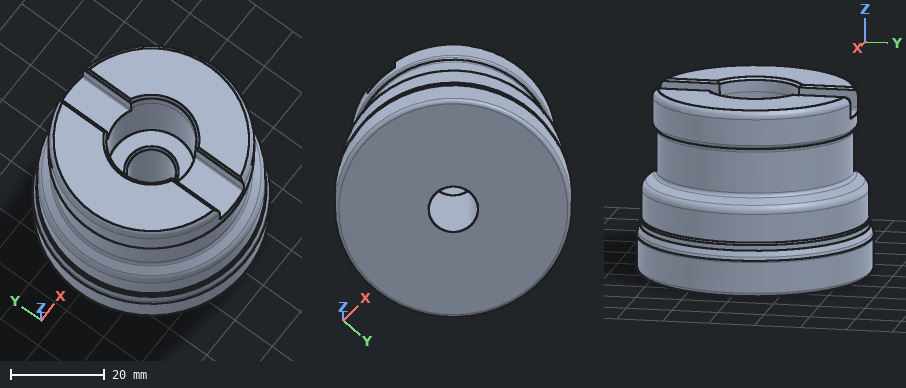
import cadquery as cq
import math

height = 40.0
rim_radius = 25.4

base_radius = 25.35
base_rounding = 0.9
base_top = 7.6
rim_height = 8.05
edge_break_top = 8.8
edge_break_radius = 25.2
band_radius = 24.6
band_bottom = 10.05
band_top = 11.3

body_radius = 48.8 / 2
body_bottom = 11.8
body_top = 18.0
shoulder_angle = math.radians(57)
shoulder_round_height = 1.8
neck_bottom_round_height = 0.9

neck_radius = 42.3 / 2
neck_bottom = 21.9
neck_top = 30.9
neck_top_round_end = 31.6
neck_top_round_width = 0.2
head_radius = 44.0 / 2
head_bottom = 32.5
head_bottom_round_height = 0.55
head_bottom_round_width = 0.25
head_round_bottom = 38.2
head_top_radius = 20.9

slot_width = 8.4
slot_depth = 4.8
slot_chamfer = 0.5
slot_corner_radius = 0.3

bore_radius = 19.05 / 2
bore_depth = 19.3
lead_in_radius = 9.65
lead_in_depth = 3.15
mouth_chamfer = 0.6
hole_radius = 10.5 / 2
hole_chamfer = 0.55


def round_width(round_height):
    """Radial width of an arc turning from the axis direction to the shoulder slope."""
    return round_height * math.tan(shoulder_angle / 2)


def make_body():
    """Revolve the outer half profile, from the bottom face up to the top face."""
    profile = (
        cq.Workplane("XZ")
        .lineTo(base_radius - base_rounding, 0)
        .tangentArcPoint((base_radius, base_rounding), relative=False)
        .lineTo(base_radius, base_top)
        .lineTo(rim_radius, rim_height)
        .lineTo(edge_break_radius, edge_break_top)
        .lineTo(band_radius, band_bottom)
        .lineTo(band_radius, band_top)
        .lineTo(body_radius, body_bottom)
        .lineTo(body_radius, body_top)
        .tangentArcPoint(
            (body_radius - round_width(shoulder_round_height), body_top + shoulder_round_height),
            relative=False,
        )
        .lineTo(neck_radius + round_width(neck_bottom_round_height), neck_bottom - neck_bottom_round_height)
        .tangentArcPoint((neck_radius, neck_bottom), relative=False)
        .lineTo(neck_radius, neck_top)
        .tangentArcPoint((neck_radius + neck_top_round_width, neck_top_round_end), relative=False)
        .lineTo(head_radius - head_bottom_round_width, head_bottom - head_bottom_round_height)
        .tangentArcPoint((head_radius, head_bottom), relative=False)
        .lineTo(head_radius, head_round_bottom)
        .tangentArcPoint((head_top_radius, height), relative=False)
        .lineTo(0, height)
        .close()
    )
    return profile.revolve(360, (0, 0), (0, 1))


def make_bore():
    """Revolve the cutter for the bore, its tapered lead-in and the through hole."""
    bore_floor = height - bore_depth
    profile = (
        cq.Workplane("XZ")
        .lineTo(hole_radius, 0)
        .lineTo(hole_radius, bore_floor - hole_chamfer)
        .lineTo(hole_radius + hole_chamfer, bore_floor)
        .lineTo(bore_radius, bore_floor)
        .lineTo(bore_radius, height - lead_in_depth)
        .lineTo(lead_in_radius, height - mouth_chamfer)
        .lineTo(lead_in_radius + mouth_chamfer, height)
        .lineTo(0, height)
        .close()
    )
    return profile.revolve(360, (0, 0), (0, 1))


def make_slot():
    """Make the slot cutter, with rounded floor corners and chamfered upper edges."""
    half_width = slot_width / 2
    floor = height - slot_depth
    profile = (
        cq.Workplane("XZ")
        .moveTo(-half_width + slot_corner_radius, floor)
        .lineTo(half_width - slot_corner_radius, floor)
        .tangentArcPoint((half_width, floor + slot_corner_radius), relative=False)
        .lineTo(half_width, height - slot_chamfer)
        .lineTo(half_width + slot_chamfer, height)
        .lineTo(-half_width - slot_chamfer, height)
        .lineTo(-half_width, height - slot_chamfer)
        .lineTo(-half_width, floor + slot_corner_radius)
        .tangentArcPoint((-half_width + slot_corner_radius, floor), relative=False)
        .close()
    )
    return profile.extrude(rim_radius, both=True)


result = make_body().cut(make_bore()).cut(make_slot())